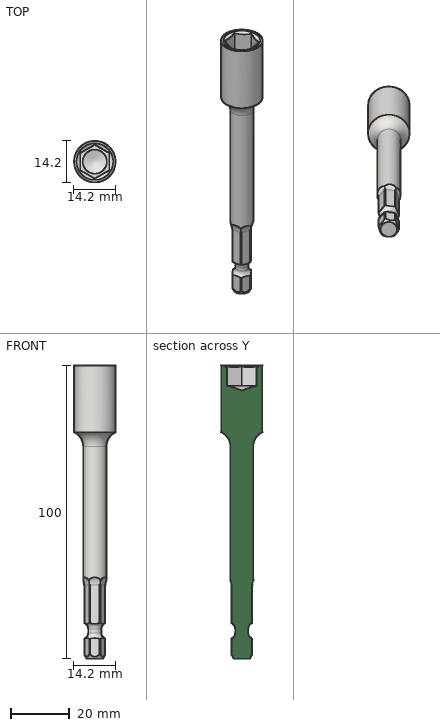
import math

import cadquery as cq


total_length = 100.0
head_radius = 7.1
head_bottom_z = 77.2
neck_bottom_z = 72.4
shaft_radius = 4.0

socket_across_flats = 10.0
socket_depth = 7.0
lead_in_radius = 6.25
lead_in_half_angle = 60.0
drill_radius = 4.1
drill_point_angle = 140.0

shank_across_flats = 6.35
shank_corner_radius = 3.55
shank_top_z = 25.2
runout_height = 2.6
end_radius = 2.8
end_chamfer_height = 1.5

groove_radius = 2.3
groove_floor_bottom_z = 8.9
groove_floor_top_z = 10.2
groove_bottom_z = 6.9
groove_top_z = 12.2

FLAT_COUNT = 6


def tangent_arc_radius(rise, run):
    """Radius of an arc that starts parallel to the axis and moves out by rise over run."""
    return (rise**2 + run**2) / (2 * rise)


def tangent_arc_middle(start_r, start_z, end_r, end_z):
    """Middle point of an arc leaving the start parallel to Z and bending outwards to the end."""
    radius = tangent_arc_radius(end_r - start_r, end_z - start_z)
    half_sweep = math.asin((end_z - start_z) / radius) / 2
    return (
        start_r + radius * (1 - math.cos(half_sweep)),
        start_z + radius * math.sin(half_sweep),
    )


def hex_prism(across_flats, height, bottom_z, turn):
    across_corners = across_flats / math.cos(math.pi / FLAT_COUNT)
    prism = cq.Workplane("XY").polygon(FLAT_COUNT, across_corners).extrude(height)
    return prism.rotate((0, 0, 0), (0, 0, 1), turn).translate((0, 0, bottom_z))


def turned(profile):
    return profile.close().revolve(360, (0, 0, 0), (0, 1, 0))


def make_body():
    """Turned blank: chamfered end, grooved shank, shaft, flared neck and head."""
    lower_flank = tangent_arc_middle(
        groove_radius, groove_floor_bottom_z, shank_corner_radius, groove_bottom_z
    )
    upper_flank = tangent_arc_middle(
        groove_radius, groove_floor_top_z, shank_corner_radius, groove_top_z
    )
    neck_flare = tangent_arc_middle(shaft_radius, neck_bottom_z, head_radius, head_bottom_z)
    profile = (
        cq.Workplane("XZ")
        .lineTo(end_radius, 0)
        .lineTo(shank_corner_radius, end_chamfer_height)
        .lineTo(shank_corner_radius, groove_bottom_z)
        .threePointArc(lower_flank, (groove_radius, groove_floor_bottom_z))
        .lineTo(groove_radius, groove_floor_top_z)
        .threePointArc(upper_flank, (shank_corner_radius, groove_top_z))
        .lineTo(shank_corner_radius, shank_top_z)
        .lineTo(shaft_radius, shank_top_z)
        .lineTo(shaft_radius, neck_bottom_z)
        .threePointArc(neck_flare, (head_radius, head_bottom_z))
        .lineTo(head_radius, total_length)
        .lineTo(0, total_length)
    )
    return turned(profile)


def make_flat_cutter():
    """Tool for one shank flat, facing +Y, with a rounded run-out into the shaft."""
    flat_y = shank_across_flats / 2
    outer_y = head_radius
    runout_z = shank_top_z + runout_height
    runout_middle = tangent_arc_middle(flat_y, shank_top_z, shaft_radius, runout_z)
    return (
        cq.Workplane("YZ")
        .moveTo(flat_y, 0)
        .lineTo(flat_y, shank_top_z)
        .threePointArc(runout_middle, (shaft_radius, runout_z))
        .lineTo(outer_y, runout_z)
        .lineTo(outer_y, 0)
        .close()
        .extrude(head_radius, both=True)
    )


def cut_shank_flats(body):
    cutter = make_flat_cutter()
    for index in range(FLAT_COUNT):
        turn = index * 360 / FLAT_COUNT
        body = body.cut(cutter.rotate((0, 0, 0), (0, 0, 1), turn))
    return body


def cut_socket(body):
    """Hex socket with flats facing X, a conical lead-in and a drill point in its floor."""
    floor_z = total_length - socket_depth
    point_depth = drill_radius / math.tan(math.radians(drill_point_angle / 2))
    lead_in_depth = lead_in_radius / math.tan(math.radians(lead_in_half_angle))
    hexagon = hex_prism(socket_across_flats, socket_depth, floor_z, 180 / FLAT_COUNT)
    lead_in = turned(
        cq.Workplane("XZ")
        .moveTo(0, total_length)
        .lineTo(lead_in_radius, total_length)
        .lineTo(0, total_length - lead_in_depth)
    )
    drill_point = turned(
        cq.Workplane("XZ")
        .moveTo(0, floor_z)
        .lineTo(drill_radius, floor_z)
        .lineTo(0, floor_z - point_depth)
    )
    return body.cut(hexagon).cut(lead_in).cut(drill_point)


result = cut_socket(cut_shank_flats(make_body()))